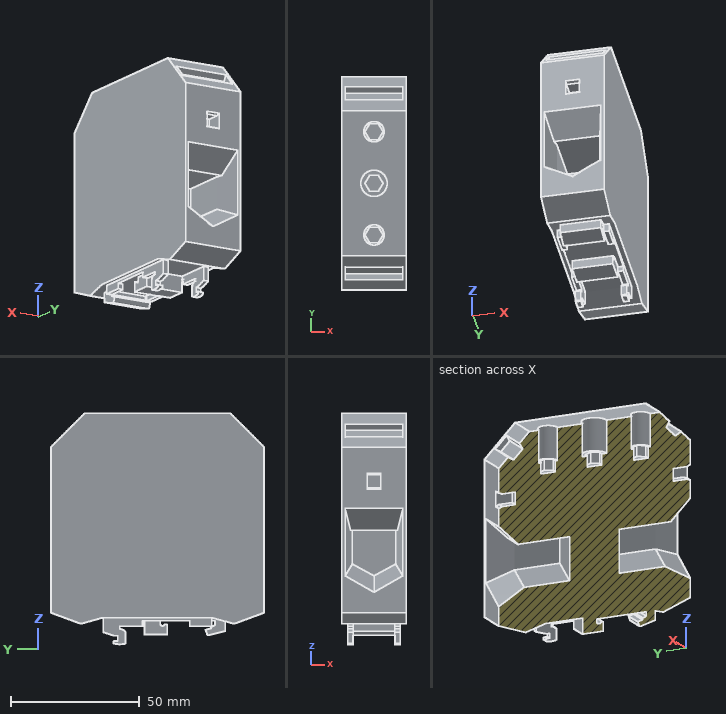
import cadquery as cq

WIDTH = 25.1
LENGTH = 82.9
HEIGHT = 89.9
FRONT = LENGTH / 2

TOP_CHAMFER = 13.2
SIDE_BOTTOM_Z = 12.3
KEEL_Y = 29.8
KEEL_Z = 8.0
BASE_Y = 21.1
BASE_Z = 10.4

SCREW_SPACING = 20.05
WIRE_SCREW_DIAMETER = 7.9
CENTER_SCREW_DIAMETER = 10.25
SHAFT_DEPTH = 13.5
HEX_ACROSS_CORNERS = 7.0
HEX_DEPTH = 4.5

LABEL_WIDTH = 22.5
LABEL_HEIGHT = 6.9
LABEL_TAPER = 0.6
LABEL_TAPER_DEPTH = 2.25
LABEL_DEPTH = 2.7
LABEL_CENTER_Z = 83.2

WINDOW_WIDTH = 5.4
WINDOW_BOTTOM_Z = 60.3
WINDOW_TOP_Z = 66.5
WINDOW_TAPER = 0.6
WINDOW_TAPER_DEPTH = 1.5
WINDOW_DEPTH = 7.2

MOUTH_HALF_WIDTH = 11.2
MOUTH_TOP_Z = 52.9
MOUTH_CORNER_Z = 26.7
MOUTH_VERTEX_Z = 20.3
TUNNEL_HALF_WIDTH = 8.45
TUNNEL_TOP_Z = 44.4
TUNNEL_CORNER_Z = 31.3
TUNNEL_VERTEX_Z = 26.7
FUNNEL_DEPTH = 11.0
TUNNEL_DEPTH = 30.6
ROOF_SLOPE_DEPTH = 8.45

PLATE_OUTER_X = 10.25
PLATE_INNER_X = 8.1
PLATE_BOTTOM_Z = 7.0
SLIDE_BOTTOM_Z = 9.2
FOOT_OVERLAP = 0.9
FOOT_ROOT_Z = BASE_Z + FOOT_OVERLAP
PLATE_NOTCH_START_Y = 5.75
PLATE_NOTCH_END_Y = -12.5
HOOK_NECK_Y = 15.5
HOOK_INNER_Y = 12.4
HOOK_SLOT_Y = 14.65
BLOCK_BACK_Y = 5.1
BLOCK_FRONT_Y = -3.9
BLOCK_HOLLOW_Y = -1.1
BLOCK_BOTTOM_Z = 3.9
LATCH_INNER_Y = -22.3
LATCH_OUTER_Y = -26.3


def side_prism(points, x_start, x_end):
    """Extrude a (y, z) outline from x_start to x_end."""
    return cq.Workplane("YZ", origin=(x_start, 0, 0)).polyline(points).close().extrude(x_end - x_start)


def both_ends(cutter):
    """Repeat a shape of the -Y end at the +Y end."""
    return cutter.union(cutter.mirror("XZ"))


def make_housing():
    half = [
        (FRONT - TOP_CHAMFER, HEIGHT),
        (FRONT, HEIGHT - TOP_CHAMFER),
        (FRONT, SIDE_BOTTOM_Z),
        (KEEL_Y, KEEL_Z),
        (BASE_Y, BASE_Z),
    ]
    other_half = [(-y, z) for y, z in reversed(half)]
    return side_prism(half + other_half, -WIDTH / 2, WIDTH / 2)


def screw_shaft(y, diameter):
    shaft = cq.Workplane("XY", origin=(0, y, HEIGHT)).circle(diameter / 2).extrude(-SHAFT_DEPTH)
    socket = (
        cq.Workplane("XY", origin=(0, y, HEIGHT))
        .polygon(6, HEX_ACROSS_CORNERS)
        .extrude(-SHAFT_DEPTH - HEX_DEPTH)
    )
    return shaft.union(socket)


def stepped_pocket(plane, width, height, taper, taper_depth, depth):
    """Pocket whose upper and lower walls slope by taper over taper_depth, then run straight."""
    floor_height = height - 2 * taper
    sloped = (
        cq.Workplane(plane)
        .rect(width, height)
        .workplane(offset=-taper_depth)
        .rect(width, floor_height)
        .loft(ruled=True)
    )
    straight = cq.Workplane(plane).rect(width, floor_height).extrude(-depth)
    return sloped.union(straight)


def label_recess():
    center_y = -FRONT + LABEL_CENTER_Z - (HEIGHT - TOP_CHAMFER)
    plane = cq.Plane(origin=(0, center_y, LABEL_CENTER_Z), xDir=(1, 0, 0), normal=(0, -1, 1))
    return stepped_pocket(
        plane, LABEL_WIDTH, LABEL_HEIGHT, LABEL_TAPER, LABEL_TAPER_DEPTH, LABEL_DEPTH
    )


def test_window():
    height = WINDOW_TOP_Z - WINDOW_BOTTOM_Z
    center_z = (WINDOW_TOP_Z + WINDOW_BOTTOM_Z) / 2
    plane = cq.Plane(origin=(0, -FRONT, center_z), xDir=(1, 0, 0), normal=(0, -1, 0))
    return stepped_pocket(
        plane, WINDOW_WIDTH, height, WINDOW_TAPER, WINDOW_TAPER_DEPTH, WINDOW_DEPTH
    )


def pentagon(half_width, top_z, corner_z, vertex_z):
    return [
        (-half_width, top_z),
        (half_width, top_z),
        (half_width, corner_z),
        (0, vertex_z),
        (-half_width, corner_z),
    ]


def wire_entry():
    mouth = pentagon(MOUTH_HALF_WIDTH, MOUTH_TOP_Z, MOUTH_CORNER_Z, MOUTH_VERTEX_Z)
    throat = pentagon(TUNNEL_HALF_WIDTH, MOUTH_TOP_Z, TUNNEL_CORNER_Z, TUNNEL_VERTEX_Z)
    tunnel = pentagon(TUNNEL_HALF_WIDTH, TUNNEL_TOP_Z, TUNNEL_CORNER_Z, TUNNEL_VERTEX_Z)
    face = cq.Workplane("XZ", origin=(0, -FRONT, 0))
    funnel = (
        face.polyline(mouth).close()
        .workplane(offset=-FUNNEL_DEPTH)
        .polyline(throat).close()
        .loft(ruled=True)
    )
    roof_end_y = -FRONT + ROOF_SLOPE_DEPTH
    funnel_end_y = -FRONT + FUNNEL_DEPTH
    roof = side_prism(
        [
            (-FRONT, MOUTH_TOP_Z),
            (roof_end_y, TUNNEL_TOP_Z),
            (funnel_end_y, TUNNEL_TOP_Z),
            (funnel_end_y, MOUTH_TOP_Z),
        ],
        -MOUTH_HALF_WIDTH,
        MOUTH_HALF_WIDTH,
    )
    straight = (
        cq.Workplane("XZ", origin=(0, funnel_end_y, 0))
        .polyline(tunnel).close()
        .extrude(FUNNEL_DEPTH - TUNNEL_DEPTH)
    )
    return funnel.cut(roof).union(straight)


def hook_plate(x_start, x_end):
    """Fixed side plate with the downward hook at its +Y end."""
    return (
        cq.Workplane("YZ", origin=(x_start, 0, 0))
        .moveTo(-BASE_Y, FOOT_ROOT_Z)
        .lineTo(BASE_Y, FOOT_ROOT_Z)
        .lineTo(BASE_Y, 4.8)
        .lineTo(17.1, 3.4)
        .lineTo(HOOK_NECK_Y, 3.3)
        .lineTo(HOOK_NECK_Y, 1.4)
        .lineTo(16.5, 1.4)
        .threePointArc((17.2, 1.0), (16.7, 0.3))
        .lineTo(14.8, 0.0)
        .lineTo(12.9, 0.2)
        .lineTo(HOOK_INNER_Y, 0.45)
        .lineTo(HOOK_INNER_Y, 4.85)
        .threePointArc((13.1, 5.6), (HOOK_SLOT_Y, 6.1))
        .lineTo(HOOK_SLOT_Y, PLATE_BOTTOM_Z)
        .lineTo(PLATE_NOTCH_START_Y, PLATE_BOTTOM_Z)
        .lineTo(PLATE_NOTCH_START_Y, SLIDE_BOTTOM_Z)
        .lineTo(PLATE_NOTCH_END_Y, SLIDE_BOTTOM_Z)
        .lineTo(PLATE_NOTCH_END_Y, PLATE_BOTTOM_Z)
        .lineTo(-BASE_Y, PLATE_BOTTOM_Z)
        .close()
        .extrude(x_end - x_start)
    )


def sliding_latch():
    """Latch between the plates: a flat slide, a middle block and a hook at the -Y end."""
    return (
        cq.Workplane("YZ", origin=(-PLATE_INNER_X, 0, 0))
        .moveTo(BLOCK_BACK_Y, FOOT_ROOT_Z)
        .lineTo(BLOCK_BACK_Y, BLOCK_BOTTOM_Z)
        .lineTo(BLOCK_FRONT_Y, BLOCK_BOTTOM_Z)
        .lineTo(BLOCK_FRONT_Y, 7.6)
        .threePointArc((-3.4, 7.9), (-2.6, 7.55))
        .threePointArc((-1.5, 7.4), (BLOCK_HOLLOW_Y, 8.0))
        .lineTo(BLOCK_HOLLOW_Y, SLIDE_BOTTOM_Z)
        .lineTo(LATCH_INNER_Y, SLIDE_BOTTOM_Z)
        .lineTo(LATCH_INNER_Y, 7.55)
        .lineTo(-20.9, 6.9)
        .lineTo(-20.7, 6.3)
        .lineTo(-18.6, 5.75)
        .lineTo(-19.15, 4.2)
        .threePointArc((-19.5, 3.7), (-20.3, 3.7))
        .lineTo(LATCH_OUTER_Y, 5.2)
        .lineTo(LATCH_OUTER_Y, FOOT_ROOT_Z)
        .close()
        .extrude(2 * PLATE_INNER_X)
    )


result = make_housing()
result = result.cut(screw_shaft(0, CENTER_SCREW_DIAMETER))
for screw_y in (-SCREW_SPACING, SCREW_SPACING):
    result = result.cut(screw_shaft(screw_y, WIRE_SCREW_DIAMETER))
for cutter in (label_recess(), test_window(), wire_entry()):
    result = result.cut(both_ends(cutter))

result = result.union(hook_plate(-PLATE_OUTER_X, -PLATE_INNER_X))
result = result.union(hook_plate(PLATE_INNER_X, PLATE_OUTER_X))
result = result.union(sliding_latch())